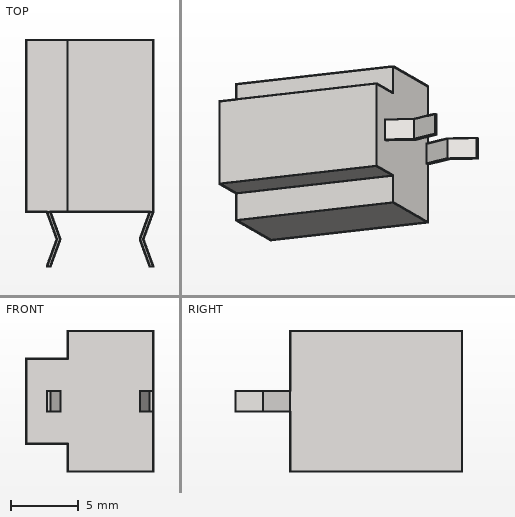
import cadquery as cq

total_length = 16.76
body_width = 9.4
body_height = 10.4
body_length = 12.7
step_width = 3.07
step_height = 6.3

lead_length = total_length - body_length
lead_height = 1.53
lead_thickness = 0.27
lead_bend = 0.74
left_lead_x = 1.53
right_lead_x = body_width


def make_body():
    """Wide block and narrow step, both centred on Z = 0."""
    block_width = body_width - step_width
    block = (
        cq.Workplane("XY")
        .box(block_width, body_length, body_height, centered=(False, False, True))
        .translate((step_width, 0, 0))
    )
    step = cq.Workplane("XY").box(
        step_width, body_length, step_height, centered=(False, False, True)
    )
    return block.union(step)


def make_lead(outer_x, inward):
    """V-shaped lead; inward is the X sign from its outer edge to the bend."""
    inner_x = outer_x + inward * lead_thickness
    bend_shift = inward * lead_bend
    outline = [
        (outer_x, 0),
        (outer_x + bend_shift, -lead_length / 2),
        (outer_x, -lead_length),
        (inner_x, -lead_length),
        (inner_x + bend_shift, -lead_length / 2),
        (inner_x, 0),
    ]
    return (
        cq.Workplane("XY")
        .polyline(outline)
        .close()
        .extrude(lead_height / 2, both=True)
    )


result = make_body()
for outer_x, inward in ((left_lead_x, 1), (right_lead_x, -1)):
    result = result.union(make_lead(outer_x, inward))